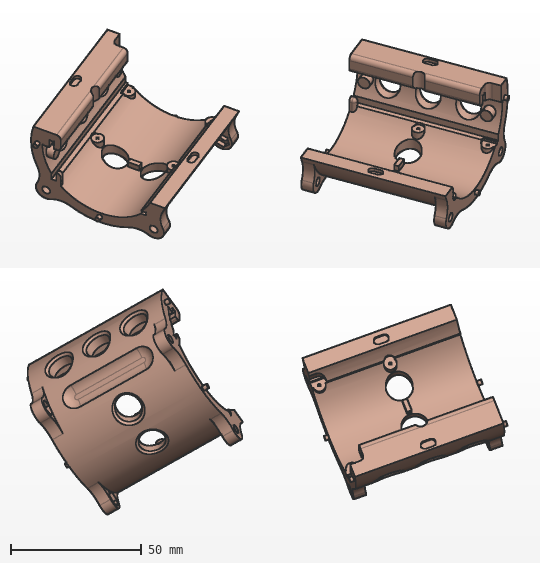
import cadquery as cq
import math


ring_outer = 30.0
ring_inner = 25.0
y_back = 31.0
y_front = -30.0
length = y_back - y_front
ring_core = 27.0

rail_top = 7.95
rail_bottom = 0.0
rail_inner_x = -16.95
rail_fillet = 2.0
slot_width = 2.0
slot_left_x = -22.0
slot_right_x = slot_left_x + slot_width
slot_top = 3.75
channel_x = -21.0
channel_floor = -16.5

tab_top = -12.4
tab_length = 2.6
tab_fillet = 1.5

lip_top = -10.0
lip_bottom = -16.0
lip_inner = 24.0
board_seat = -17.5
board_half_width = 20.0

lug_offset = 23.35
lug_radius = 4.5
lug_blend = 10.0
lug_thickness = 5.0
bolt_diameter = 3.5
nut_flats = 5.8
nut_depth = 2.0
nut_turn = 15

pin_diameter = 2.0
pin_back_length = 1.5
pin_front_length = 2.0

window_diameter = 10.5
window_chamfer = 1.0
side_window_z = -6.25
side_window_pitch = 17.0
floor_window_x = 8.45
floor_window_y = -1.3

scoop_width = 12.2
scoop_length = 42.2
scoop_fillet = 5.0
scoop_floor_radius = 27.9

boss_diameter = 5.0
boss_hole_diameter = 1.0
boss_hole_depth = 2.0
boss_root = 0.65
corner_boss_x = 18.0
corner_boss_y = 28.0
middle_boss_x = 16.5
middle_boss_y = -0.65
side_boss_z = -6.3
side_boss_back_y = 26.0
side_boss_front_y = -25.7

notch_depth = 6.0
notch_left_x = -23.6
notch_fillet = 2.0
clearance_radius = 3.0

floor_block_width = 5.0
floor_block_thickness = 2.0
floor_block_top = -22.5

pocket_width = 3.15
pocket_length = 6.0
pocket_depth = 1.5
left_pocket_x = -26.4
right_pocket_x = 24.65


def across(radius, height):
    """Horizontal distance from the ring axis to a circle about it, at the given height."""
    return math.sqrt(radius**2 - height**2)


def end_plane(y):
    """Plane parallel to the end faces; a positive extrusion runs towards the front."""
    return cq.Workplane("XZ", origin=(0, y, 0))


def full_cylinder(radius):
    """Cylinder about the ring axis, as long as the ring."""
    return end_plane(y_back).circle(radius).extrude(length)


def upright(x, y, bottom, top, diameter):
    """Vertical cylinder between two heights."""
    return cq.Workplane("XY", origin=(x, y, bottom)).circle(diameter / 2).extrude(top - bottom)


def block(x_range, y_range, z_range):
    """Box between two limits along each axis."""
    sizes = [high - low for low, high in (x_range, y_range, z_range)]
    corner = (x_range[0], y_range[0], z_range[0])
    return cq.Workplane("XY").box(*sizes, centered=False).translate(corner)


def make_body():
    """Constant cross-section of the ring, rail and lip over the whole length."""
    lip_middle = (lip_top + lip_bottom) / 2
    wall_bottom = -across(ring_inner, channel_x)
    wall_middle = (rail_bottom + wall_bottom) / 2
    section = (
        end_plane(y_back)
        .moveTo(-across(ring_outer, rail_top), rail_top)
        .threePointArc((0, -ring_outer), (across(ring_outer, lip_top), lip_top))
        .lineTo(across(lip_inner, lip_top), lip_top)
        .threePointArc(
            (across(lip_inner, lip_middle), lip_middle),
            (across(lip_inner, lip_bottom), lip_bottom),
        )
        .lineTo(board_half_width, lip_bottom)
        .lineTo(board_half_width, board_seat)
        .lineTo(across(ring_inner, board_seat), board_seat)
        .threePointArc((0, -ring_inner), (-across(ring_inner, channel_floor), channel_floor))
        .lineTo(channel_x, channel_floor)
        .lineTo(channel_x, wall_bottom)
        .threePointArc(
            (-across(ring_inner, wall_middle), wall_middle),
            (-across(ring_inner, rail_bottom), rail_bottom),
        )
        .lineTo(slot_left_x, rail_bottom)
        .lineTo(slot_left_x, slot_top)
        .lineTo(slot_right_x, slot_top)
        .lineTo(slot_right_x, rail_bottom)
        .lineTo(rail_inner_x, rail_bottom)
        .lineTo(rail_inner_x, rail_top)
        .close()
    )
    body = section.extrude(length)
    for z in (rail_bottom, rail_top):
        body = body.edges(near(rail_inner_x, (y_back + y_front) / 2, z)).fillet(rail_fillet)
    return body


def near(x, y, z, reach=1.6):
    """Selector for edges whose centre lies close to a point."""
    low = (x - reach, y - reach, z - reach)
    high = (x + reach, y + reach, z + reach)
    return cq.selectors.BoxSelector(low, high)


def cut_windows(body):
    """Three windows through the left wall and two through the floor, chamfered outside."""
    for y in (-side_window_pitch, 0, side_window_pitch):
        window = (
            cq.Workplane("YZ", origin=(-ring_outer, y, side_window_z))
            .circle(window_diameter / 2)
            .extrude(ring_outer / 2)
        )
        rim = near(-across(ring_outer, side_window_z), y, side_window_z)
        body = body.cut(window).edges(rim).chamfer(window_chamfer)
    for x in (-floor_window_x, floor_window_x):
        window = upright(x, floor_window_y, -ring_outer, -ring_outer / 2, window_diameter)
        rim = near(x, floor_window_y, -across(ring_outer, x))
        body = body.cut(window).edges(rim).chamfer(window_chamfer)
    return body


def make_scoop():
    """Round-ended slot facing the lower left, its floor rounded up into the walls."""
    diagonal = cq.Vector(-1, 0, -1).normalized()
    floor = cq.Plane(origin=diagonal * scoop_floor_radius, xDir=(0, 1, 0), normal=diagonal)
    return (
        cq.Workplane(floor)
        .slot2D(scoop_length, scoop_width)
        .extrude(scoop_width / 2)
        .faces(cq.selectors.DirectionMinMaxSelector(diagonal, False))
        .edges()
        .fillet(scoop_fillet)
    )


def make_lug(side, y):
    """Lug on the left (side -1) or right (side 1), joined to the ring by two concave arcs."""
    lug_reach = math.hypot(lug_offset, lug_offset)
    blend_reach = ring_outer + lug_blend
    blend_gap = lug_radius + lug_blend
    spread = math.acos((lug_reach**2 + blend_reach**2 - blend_gap**2) / (2 * lug_reach * blend_reach))

    def polar(radius, turn):
        """Point at an angle from the lug's diagonal, positive towards the ring bottom."""
        angle = math.radians(45) + turn
        return cq.Vector(side * radius * math.cos(angle), -radius * math.sin(angle))

    def blend_points(turn):
        """Ring end, middle and lug end of one blend arc."""
        centre = polar(blend_reach, turn)
        to_ring = -centre.normalized()
        to_lug = (polar(lug_reach, 0) - centre).normalized()
        to_middle = (to_ring + to_lug).normalized()
        return [(centre + way * lug_blend).toTuple()[:2] for way in (to_ring, to_middle, to_lug)]

    upper_ring, upper_middle, upper_lug = blend_points(-spread)
    lower_ring, lower_middle, lower_lug = blend_points(spread)
    return (
        end_plane(y)
        .moveTo(*upper_ring)
        .threePointArc(upper_middle, upper_lug)
        .threePointArc(polar(lug_reach + lug_radius, 0).toTuple()[:2], lower_lug)
        .threePointArc(lower_middle, lower_ring)
        .lineTo(*polar(ring_core, spread).toTuple()[:2])
        .threePointArc(polar(ring_core, 0).toTuple()[:2], polar(ring_core, -spread).toTuple()[:2])
        .close()
        .extrude(lug_thickness)
    )


def add_lugs(body):
    """Front and back lugs on both sides, bolt holes, and nut pockets in the back lugs."""
    for side in (-1, 1):
        for y in (y_back, y_front + lug_thickness):
            body = body.union(make_lug(side, y))
        bolt = (
            end_plane(y_back)
            .center(side * lug_offset, -lug_offset)
            .circle(bolt_diameter / 2)
            .extrude(length)
        )
        nut = (
            end_plane(y_back - lug_thickness + nut_depth)
            .center(side * lug_offset, -lug_offset)
            .transformed(rotate=(0, 0, side * nut_turn))
            .polygon(6, nut_flats, circumscribed=True)
            .extrude(nut_depth)
        )
        body = body.cut(bolt).cut(nut)
    return body


def add_tab(body):
    tab = block(
        (channel_x + slot_width, rail_inner_x),
        (y_front, y_front + tab_length),
        (-ring_core, tab_top),
    )
    tab = tab.edges(">Z and >X").fillet(tab_fillet)
    tab = tab.edges(">Z and >Y").fillet(tab_fillet)
    return body.union(tab.intersect(full_cylinder(ring_core)))


def cut_back_openings(body):
    """Open the rail down through the board seat, and clear the lip beside the corner boss."""
    notch_y = (y_back - notch_depth, y_back)
    notch = block((notch_left_x, 0), notch_y, (rail_bottom, rail_top))
    notch = notch.edges("|Z and <X and <Y").fillet(notch_fillet)
    seat = block((-board_half_width, 0), notch_y, (board_seat, rail_bottom))
    round_end = upright(corner_boss_x, corner_boss_y, lip_bottom, lip_top, 2 * clearance_radius)
    straight = block(
        (corner_boss_x - clearance_radius, corner_boss_x + clearance_radius),
        (corner_boss_y, y_back),
        (lip_bottom, lip_top),
    )
    return body.cut(notch).cut(seat).cut(round_end).cut(straight)


def add_board_bosses(body):
    """Four upright bosses level with the board seat, each with a blind hole."""
    rooted = full_cylinder(ring_inner + boss_root)
    for side in (-1, 1):
        middle = (side * middle_boss_x, middle_boss_y)
        corner = (side * corner_boss_x, corner_boss_y)
        body = body.cut(upright(*middle, board_seat, rail_top, boss_diameter))
        for place in (middle, corner):
            boss = upright(*place, -ring_core, board_seat, boss_diameter)
            hole = upright(*place, board_seat - boss_hole_depth, board_seat, boss_hole_diameter)
            body = body.union(boss.intersect(rooted)).cut(hole)
    return body


def add_side_bosses(body):
    """Two level bosses on the left wall, ending flush with the channel wall."""
    root_x = -ring_inner - boss_root
    for y in (side_boss_front_y, side_boss_back_y):
        boss = (
            cq.Workplane("YZ", origin=(root_x, y, side_boss_z))
            .circle(boss_diameter / 2)
            .extrude(channel_x - root_x)
        )
        body = body.union(boss)
    return body


def add_floor_block(body):
    floor_block = (
        cq.Workplane("XY", origin=(0, floor_window_y, -ring_core))
        .rect(floor_block_width, floor_block_thickness)
        .extrude(floor_block_top + ring_core)
    )
    return body.union(floor_block)


def cut_pockets(body):
    for x, z in ((left_pocket_x, rail_top), (right_pocket_x, lip_top)):
        pocket = (
            cq.Workplane("XY", origin=(x, 0, z))
            .slot2D(pocket_length, pocket_width, 90)
            .extrude(-pocket_depth)
        )
        body = body.cut(pocket)
    return body


def add_pins(body):
    """Pins on both end faces, at the left and at the bottom of the ring wall."""
    back = (y_back + pin_back_length, pin_back_length)
    front = (y_front, pin_front_length)
    for x, z in ((-ring_core, 0), (0, -ring_core)):
        for start, pin_length in (back, front):
            pin = end_plane(start).center(x, z).circle(pin_diameter / 2).extrude(pin_length)
            body = body.union(pin)
    return body


result = cut_windows(make_body())
result = result.cut(make_scoop())
result = add_lugs(result)
result = add_tab(result)
result = cut_back_openings(result)
result = add_board_bosses(result)
result = add_side_bosses(result)
result = add_floor_block(result)
result = cut_pockets(result)
result = add_pins(result)